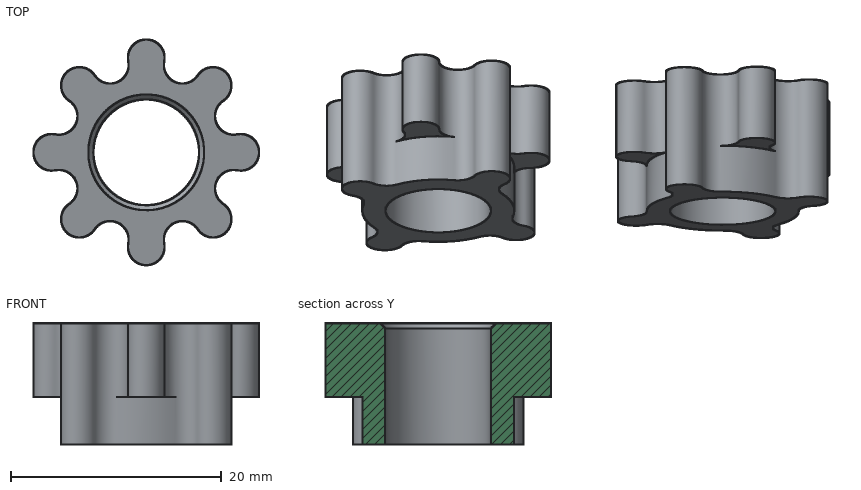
import cadquery as cq
import math

tip_radius = 10.72
tooth_count = 8
total_height = 11.5
short_tooth_height = 7.0
bore_diameter = 10.0
bore_chamfer = 0.5

half_pitch_angle = 180 / tooth_count
touch_ratio = math.sin(math.radians(half_pitch_angle / 2))
lobe_radius = tip_radius * touch_ratio / (1 + touch_ratio)
pitch_radius = tip_radius - lobe_radius
root_radius = pitch_radius - lobe_radius
tangent_radius = pitch_radius * math.cos(math.radians(half_pitch_angle / 2))
hub_height = total_height - short_tooth_height


def polar(radius, angle):
    """Point at a radius and an angle in degrees."""
    return (radius * math.cos(math.radians(angle)), radius * math.sin(math.radians(angle)))


def make_toothed_body():
    """Full-height wheel with rounded teeth and rounded gaps."""
    outline = cq.Workplane("XY").moveTo(*polar(tangent_radius, -half_pitch_angle / 2))
    for tooth in range(tooth_count):
        tooth_angle = 2 * half_pitch_angle * tooth
        gap_angle = tooth_angle + half_pitch_angle
        outline = outline.threePointArc(
            polar(tip_radius, tooth_angle), polar(tangent_radius, tooth_angle + half_pitch_angle / 2)
        )
        outline = outline.threePointArc(
            polar(root_radius, gap_angle), polar(tangent_radius, gap_angle + half_pitch_angle / 2)
        )
    return outline.close().extrude(total_height)


def make_tooth_relief(angle):
    """Sector outside the root circle that shortens one tooth from below."""
    sector_reach = 2 * tip_radius
    sector = (
        cq.Workplane("XY")
        .polyline([
            (0, 0),
            polar(sector_reach, angle - half_pitch_angle),
            polar(sector_reach, angle + half_pitch_angle),
        ])
        .close()
        .extrude(hub_height)
    )
    hub = cq.Workplane("XY").circle(root_radius).extrude(hub_height)
    return sector.cut(hub)


result = make_toothed_body()

for short_tooth in range(0, tooth_count, 2):
    result = result.cut(make_tooth_relief(2 * half_pitch_angle * short_tooth))

result = result.faces(">Z").workplane(origin=(0, 0, total_height)).hole(bore_diameter)
bore_rim = cq.selectors.RadiusNthSelector(-1)
result = result.faces(">Z").edges(bore_rim).chamfer(bore_chamfer)